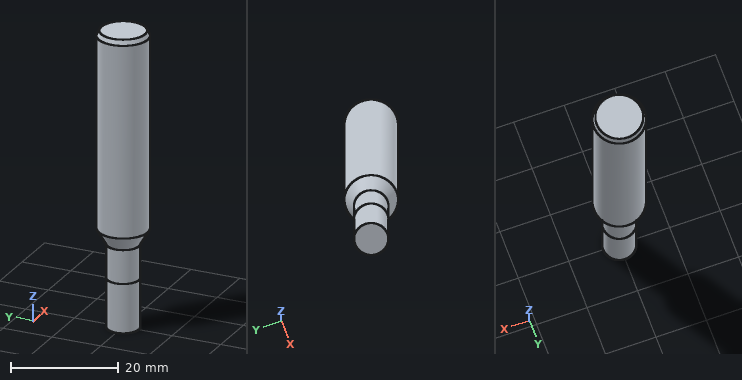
import cadquery as cq
import math

overall_length = 60.0
shank_diameter = 10.0
neck_diameter = 6.4
tip_length = 10.0
shoulder_z = 20.0
taper_half_angle = 30.0
end_chamfer_height = 1.0
end_chamfer_width = 0.55

shank_radius = shank_diameter / 2
neck_radius = neck_diameter / 2
taper_height = (shank_radius - neck_radius) / math.tan(math.radians(taper_half_angle))


def make_tip():
    """Plain cylindrical tip, flush with the neck above it."""
    return cq.Workplane("XY").circle(neck_radius).extrude(tip_length)


def make_shank():
    """Turned shank: neck, conical shoulder, main cylinder and chamfered end."""
    half_profile = [
        (0, tip_length),
        (neck_radius, tip_length),
        (neck_radius, shoulder_z - taper_height),
        (shank_radius, shoulder_z),
        (shank_radius, overall_length - end_chamfer_height),
        (shank_radius - end_chamfer_width, overall_length),
        (0, overall_length),
    ]
    return cq.Workplane("XZ").polyline(half_profile).close().revolve(360, (0, 0), (0, 1))


tip = make_tip()
shank = make_shank()

result = cq.Compound.makeCompound([tip.val(), shank.val()])